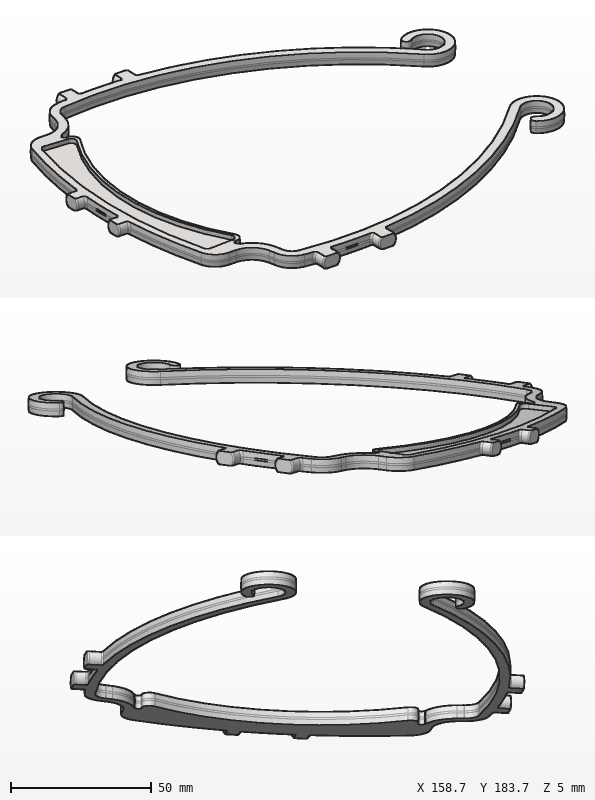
import cadquery as cq
import math

LENGTH = 183.7
WIDTH = 158.7
THICKNESS = 5.0
HALF_THICKNESS = THICKNESS / 2
Y_TOP = LENGTH / 2
Y_BOTTOM = -LENGTH / 2
LAND_HEIGHT = 0.7
DRAFT_ANGLE = 4.0

BAND_WIDTH = 4.0
ARM_CENTER = (80.5, -33.0)
ARM_RADIUS = 153.2
HOOK_RADIUS = 7.9
HOOK_TIP_ANGLE = 219.0
ARM_LOW_Y = -52.2
ELBOW_END = (-65.4, -58.2)
SHOULDER_START = (-63.0, -58.8)
BAND_END = (-54.2, -69.8)

BRIDGE_HALF_WIDTH = 56.2
BRIDGE_BOTTOM_Y = -88.0
BRIDGE_BOTTOM_RADIUS = 185.5
BRIDGE_CORNER_RADIUS = 8.3
BRIDGE_TOP_Y = -75.5
BRIDGE_TOP_RADIUS = 88.2
SHOULDER_Y = -65.5
HORN_X = 50.3
HORN_RADIUS = 3.0
NOTCH_RADIUS = 1.1

POCKET_DEPTH = 1.8
POCKET_LOWER_WALL = 3.3
POCKET_UPPER_WALL = 1.5
POCKET_LOWER_HALF_WIDTH = 49.5
POCKET_UPPER_HALF_WIDTH = 48.7
POCKET_CORNER_RADIUS = 2.0

SIDE_PEG_WIDTH = 7.9
BOTTOM_PEG_WIDTH = 7.0
PEG_BULGE = 1.1
PEG_PITCH = 25.0
SIDE_PEG_Y = -19.7
SIDE_PEG_ROOT_X = 72.4
BOTTOM_PEG_ROOT_Y = -86.1
PEG_END_RADIUS = 0.5
PEG_ROOT_RADIUS = 0.7
PEG_ROOT_SEARCH = 11.0


def both_halves(outline):
    """Extrude a closed outline up and down from the mid-plane: an upright land, then draft."""
    half_land = LAND_HEIGHT / 2
    upper = outline.extrude(half_land)
    upper = upper.faces(">Z").wires().toPending().extrude(HALF_THICKNESS - half_land, taper=DRAFT_ANGLE)
    return upper.union(upper.mirror("XY"))


def on_circle(center, radius, angle):
    return (
        center[0] + radius * math.cos(angle),
        center[1] + radius * math.sin(angle),
    )


def arc_y(center_y, radius, x):
    """Height of the lower half of a circle centred on the Y axis."""
    return center_y - math.sqrt(radius**2 - x**2)


def make_band():
    hook_center_y = Y_TOP - HOOK_RADIUS - BAND_WIDTH / 2
    touch_angle = math.pi - math.asin((hook_center_y - ARM_CENTER[1]) / (ARM_RADIUS + HOOK_RADIUS))
    hook_center = on_circle(ARM_CENTER, ARM_RADIUS + HOOK_RADIUS, touch_angle)
    arm_low_angle = math.pi - math.asin((ARM_LOW_Y - ARM_CENTER[1]) / ARM_RADIUS)

    hook_tip = on_circle(hook_center, HOOK_RADIUS, math.radians(HOOK_TIP_ANGLE))
    hook_crown = on_circle(hook_center, HOOK_RADIUS, math.pi / 2)
    arm_high = on_circle(ARM_CENTER, ARM_RADIUS, touch_angle)
    arm_middle = on_circle(ARM_CENTER, ARM_RADIUS, (touch_angle + arm_low_angle) / 2)
    arm_low = on_circle(ARM_CENTER, ARM_RADIUS, arm_low_angle)

    centreline = (
        cq.Workplane("XY")
        .moveTo(*hook_tip)
        .threePointArc(hook_crown, arm_high)
        .threePointArc(arm_middle, arm_low)
        .tangentArcPoint(ELBOW_END, relative=False)
        .lineTo(*SHOULDER_START)
        .tangentArcPoint(BAND_END, relative=False)
        .wire()
    )
    return both_halves(centreline.offset2D(BAND_WIDTH / 2))


def make_bridge():
    bottom_center_y = BRIDGE_BOTTOM_Y + BRIDGE_BOTTOM_RADIUS
    top_center_y = BRIDGE_TOP_Y + BRIDGE_TOP_RADIUS
    corner_y = arc_y(bottom_center_y, BRIDGE_BOTTOM_RADIUS, BRIDGE_HALF_WIDTH)
    horn_y = arc_y(top_center_y, BRIDGE_TOP_RADIUS, HORN_X)
    notch_x = HORN_X + NOTCH_RADIUS
    notch_outer_x = HORN_X + 2 * NOTCH_RADIUS
    notch_y = SHOULDER_Y - NOTCH_RADIUS

    sketch = (
        cq.Sketch()
        .arc((-BRIDGE_HALF_WIDTH, corner_y), (0, BRIDGE_BOTTOM_Y), (BRIDGE_HALF_WIDTH, corner_y))
        .segment((BRIDGE_HALF_WIDTH, SHOULDER_Y))
        .segment((notch_outer_x, SHOULDER_Y))
        .arc((notch_x, notch_y), (HORN_X, SHOULDER_Y))
        .segment((HORN_X, horn_y))
        .arc((0, BRIDGE_TOP_Y), (-HORN_X, horn_y))
        .segment((-HORN_X, SHOULDER_Y))
        .arc((-notch_x, notch_y), (-notch_outer_x, SHOULDER_Y))
        .segment((-BRIDGE_HALF_WIDTH, SHOULDER_Y))
        .close()
        .assemble()
    )
    sketch = sketch.vertices("<Y").fillet(BRIDGE_CORNER_RADIUS).reset()
    sketch = sketch.vertices(">Y").fillet(HORN_RADIUS).reset()
    return both_halves(cq.Workplane("XY").placeSketch(sketch))


def make_pocket():
    lower_y = BRIDGE_BOTTOM_Y + POCKET_LOWER_WALL
    upper_y = BRIDGE_TOP_Y - POCKET_UPPER_WALL
    lower_radius = BRIDGE_BOTTOM_RADIUS - POCKET_LOWER_WALL
    upper_radius = BRIDGE_TOP_RADIUS + POCKET_UPPER_WALL
    low_x = POCKET_LOWER_HALF_WIDTH
    high_x = POCKET_UPPER_HALF_WIDTH
    low_corner_y = arc_y(lower_y + lower_radius, lower_radius, low_x)
    high_corner_y = arc_y(upper_y + upper_radius, upper_radius, high_x)
    return (
        cq.Workplane("XY", origin=(0, 0, HALF_THICKNESS - POCKET_DEPTH))
        .moveTo(-low_x, low_corner_y)
        .threePointArc((0, lower_y), (low_x, low_corner_y))
        .lineTo(high_x, high_corner_y)
        .threePointArc((0, upper_y), (-high_x, high_corner_y))
        .close()
        .extrude(POCKET_DEPTH)
        .edges("|Z")
        .fillet(POCKET_CORNER_RADIUS)
    )


def make_peg(plane, root, width, length):
    """Barrel-sided peg grown from the root point along the plane normal, flank ends rounded."""
    half_width = width / 2
    half_flat = half_width - PEG_BULGE
    return (
        cq.Workplane(plane, origin=root)
        .moveTo(-half_flat, -HALF_THICKNESS)
        .lineTo(half_flat, -HALF_THICKNESS)
        .threePointArc((half_width, 0), (half_flat, HALF_THICKNESS))
        .lineTo(-half_flat, HALF_THICKNESS)
        .threePointArc((-half_width, 0), (-half_flat, -HALF_THICKNESS))
        .close()
        .extrude(length)
        .faces(cq.selectors.DirectionMinMaxSelector(cq.Plane.named(plane).zDir))
        .edges("%CIRCLE")
        .fillet(PEG_END_RADIUS)
    )


def round_peg_root(body, x, y):
    """Round the flank edges where a peg meets the frame near the given point."""
    reach = PEG_ROOT_SEARCH / 2
    near_root = cq.selectors.BoxSelector(
        (x - reach, y - reach, -HALF_THICKNESS),
        (x + reach, y + reach, HALF_THICKNESS),
    )
    return body.edges(near_root).edges("%BSPLINE").fillet(PEG_ROOT_RADIUS)


band = make_band()
result = make_bridge().union(band).union(band.mirror("YZ")).cut(make_pocket())

side_peg_length = WIDTH / 2 - SIDE_PEG_ROOT_X
for peg_y in (SIDE_PEG_Y, SIDE_PEG_Y - PEG_PITCH):
    peg = make_peg("YZ", (SIDE_PEG_ROOT_X, peg_y, 0), SIDE_PEG_WIDTH, side_peg_length)
    result = result.union(peg).union(peg.mirror("YZ"))
    for root_x in (-SIDE_PEG_ROOT_X, SIDE_PEG_ROOT_X):
        result = round_peg_root(result, root_x, peg_y)

bottom_peg_length = BOTTOM_PEG_ROOT_Y - Y_BOTTOM
for peg_x in (-PEG_PITCH / 2, PEG_PITCH / 2):
    peg = make_peg("XZ", (peg_x, BOTTOM_PEG_ROOT_Y, 0), BOTTOM_PEG_WIDTH, bottom_peg_length)
    result = round_peg_root(result.union(peg), peg_x, BOTTOM_PEG_ROOT_Y)